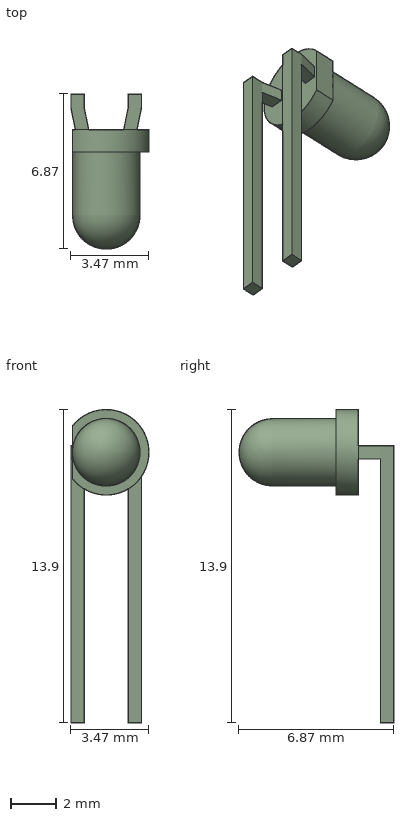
import cadquery as cq

body_diameter = 3.0
body_radius = body_diameter / 2
cylinder_length = 2.8

flange_diameter = 3.8
flange_radius = flange_diameter / 2
flange_thickness = 1.0
flat_x = -body_radius

lead_pitch = 2.54
lead_width = 0.6
lead_reach = 1.57
lead_step = 0.2
lead_bottom_z = -12.0
lead_top_z = lead_width / 2


def make_lens():
    """Cylinder through the flange, closed by a hemispherical dome."""
    dome_start_y = -(flange_thickness + cylinder_length)
    tip_y = dome_start_y - body_radius
    return (
        cq.Workplane("XY")
        .lineTo(body_radius, 0)
        .lineTo(body_radius, dome_start_y)
        .tangentArcPoint((0, tip_y), relative=False)
        .close()
        .revolve(360, (0, 0, 0), (0, 1, 0))
    )


def make_flange():
    """Disc trimmed by a flat on the -X side."""
    disc = cq.Workplane("XZ").circle(flange_radius).extrude(flange_thickness)
    keep_block = cq.Workplane("XY").box(
        flange_radius - flat_x,
        flange_thickness,
        flange_diameter,
        centered=(False, False, True),
    )
    return disc.intersect(keep_block.translate((flat_x, -flange_thickness, 0)))


def make_lead(side):
    """Lead on the given side (-1 or +1): a cranked arm and a straight drop."""
    outer_x = (lead_pitch + lead_width) / 2
    inner_x = outer_x - lead_width
    bend_y = lead_reach - lead_width
    arm = (
        cq.Workplane("XY", origin=(0, 0, -lead_width / 2))
        .moveTo(side * (outer_x - lead_step), 0)
        .lineTo(side * outer_x, bend_y)
        .lineTo(side * outer_x, lead_reach)
        .lineTo(side * inner_x, lead_reach)
        .lineTo(side * inner_x, bend_y)
        .lineTo(side * (inner_x - lead_step), 0)
        .close()
        .extrude(lead_width)
    )
    drop = (
        cq.Workplane("XY", origin=(0, 0, lead_bottom_z))
        .center(side * lead_pitch / 2, lead_reach - lead_width / 2)
        .rect(lead_width, lead_width)
        .extrude(lead_top_z - lead_bottom_z)
    )
    return arm.union(drop)


result = make_flange().union(make_lens())
for lead_side in (-1, 1):
    result = result.union(make_lead(lead_side))